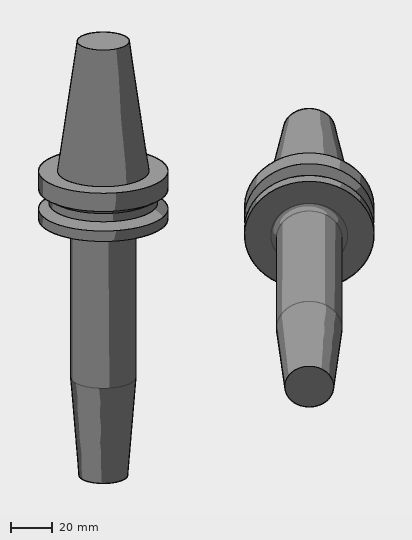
import cadquery as cq
import math

total_length = 225.5
flange_diameter = 63.0
flange_height = 25.0
lower_rim_height = 5.5

groove_diameter = 53.0
groove_floor_height = 4.3
groove_wall_angle = 30.0

taper_length = 67.5
taper_large_diameter = 44.6
taper_small_diameter = 25.5

neck_diameter = 32.0
neck_fillet = 2.7
nose_length = 51.0
nose_tip_diameter = 24.0

flange_top = total_length - taper_length
flange_bottom = flange_top - flange_height
groove_wall_height = (flange_diameter - groove_diameter) / 2 * math.tan(math.radians(groove_wall_angle))
groove_bottom = flange_bottom + lower_rim_height
floor_bottom = groove_bottom + groove_wall_height
floor_top = floor_bottom + groove_floor_height
groove_top = floor_top + groove_wall_height

flange_radius = flange_diameter / 2
groove_radius = groove_diameter / 2
neck_radius = neck_diameter / 2

fillet_centre_radius = neck_radius + neck_fillet
fillet_centre_level = flange_bottom - neck_fillet
fillet_reach = neck_fillet * math.sqrt(0.5)
fillet_midpoint = (fillet_centre_radius - fillet_reach, fillet_centre_level + fillet_reach)

profile = (
    cq.Workplane("XZ")
    .lineTo(nose_tip_diameter / 2, 0)
    .lineTo(neck_radius, nose_length)
    .lineTo(neck_radius, fillet_centre_level)
    .threePointArc(fillet_midpoint, (fillet_centre_radius, flange_bottom))
    .lineTo(flange_radius, flange_bottom)
    .lineTo(flange_radius, groove_bottom)
    .lineTo(groove_radius, floor_bottom)
    .lineTo(groove_radius, floor_top)
    .lineTo(flange_radius, groove_top)
    .lineTo(flange_radius, flange_top)
    .lineTo(taper_large_diameter / 2, flange_top)
    .lineTo(taper_small_diameter / 2, total_length)
    .lineTo(0, total_length)
    .close()
)

result = profile.revolve(360, (0, 0, 0), (0, 1, 0))